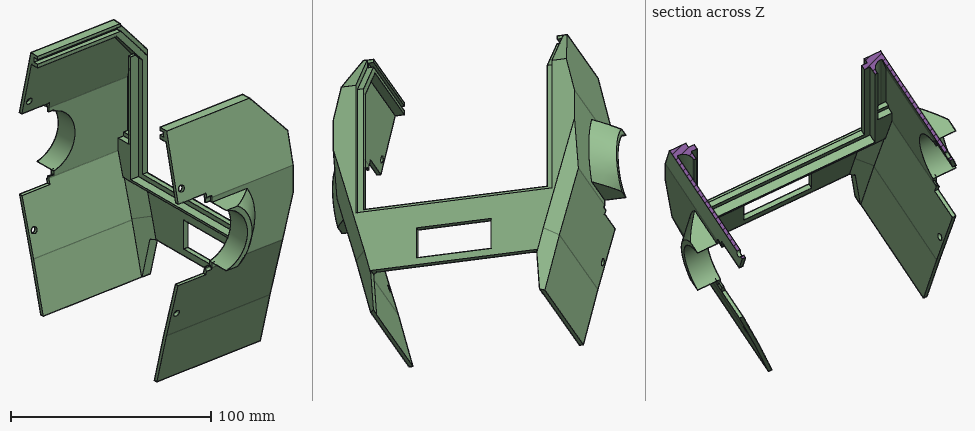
import cadquery as cq
import math

depth = 74.0
height = 146.0
reach = 74.0

wall_half_width = 62.9
top_half_width = 53.1
bottom_half_width = 45.5
leg_bend_half_width = 53.0
leg_bend_z = 29.5
lower_bend_z = 65.0
upper_bend_z = 105.0
wall_thickness = 2.0

slope_run = 20.1
slope_drop = 23.1
corner_chamfer = 6.8
corner_thickness = 5.5

frame_front_y = 63.0
lip_front_y = 68.1
lip_back_y = 71.2
opening_half_width = 47.8
opening_bottom_z = 55.2
recess_half_width = 51.0
recess_bottom_z = 52.5
frame_bottom_z = 51.4
post_half_width = 52.7
post_top_z = 122.2
slope_thickness = 6.2

pocket_floor_y = 69.3
pocket_fillet = 5.5
ledge_y = 66.6
ledge_bottom_z = 72.1
ledge_top_z = 74.3

rail_bottom_z = 139.4
groove_bottom_z = 141.5
groove_top_z = 144.2
groove_half_width = 50.6
rail_lip_end_y = 53.7

plate_inner_y = 71.2
plate_bottom_z = 19.7
leg_half_gap = 43.2
window_half_width = 19.4
window_bottom_z = 23.5
window_top_z = 40.0

collar_y = 17.6
collar_z = 85.0
bore_radius = 17.5
collar_front_y = 21.3
collar_half_height = 17.2
collar_tip_radius = 20.4

notch_depth = 18.0
notch_bottom_z = 61.7
notch_top_z = 108.0
gap_bottom_z = 65.7
gap_top_z = 102.5
lap_bottom_z = 63.6
lap_top_z = 106.1
lap_fillet = 1.5
lap_half_width = 61.9

hole_diameter = 3.5
hole_y = 3.5
lower_hole_z = 42.5
upper_hole_z = 115.1

wall_bends = (
    (bottom_half_width, 0),
    (leg_bend_half_width, leg_bend_z),
    (wall_half_width, lower_bend_z),
    (wall_half_width, upper_bend_z),
    (top_half_width, height),
)
slope_length = math.hypot(slope_run, slope_drop)


def box(x0, x1, y0, y1, z0, z1):
    return cq.Workplane("XY").box(x1 - x0, y1 - y0, z1 - z0, centered=False).translate((x0, y0, z0))


def centred_box(half_width, y0, y1, z0, z1):
    return box(-half_width, half_width, y0, y1, z0, z1)


def both_sides(body):
    return body.union(body.mirror("YZ"))


def side_outline(inset, y_end):
    """Slab from Y = 0 to y_end whose sides follow the side walls, moved inward by inset."""
    right = [(x - inset, z) for x, z in wall_bends]
    left = [(-x, z) for x, z in reversed(right)]
    return cq.Workplane("XZ").polyline(right + left).close().extrude(-y_end)


def below_slope(offset):
    """Everything in front of and below the sloped back face, moved inward by offset."""
    rise = offset * slope_length / slope_run
    slope_foot_z = height - slope_drop - rise
    slope_head_y = depth - slope_run - rise * slope_run / slope_drop
    outline = [(0, 0), (depth, 0), (depth, slope_foot_z), (slope_head_y, height), (0, height)]
    return cq.Workplane("YZ").polyline(outline).close().extrude(reach, both=True)


def corner_wedge(inset):
    """Material outside the right lower back chamfer; its face follows the two leaning leg panels."""
    (foot_x, foot_z), (knee_x, knee_z), (bend_x, bend_z) = wall_bends[:3]
    tilt = math.atan2(bend_x - foot_x, bend_z - foot_z)
    span = 2 * corner_chamfer + inset
    inner = corner_chamfer + inset

    triangle = [(inner, depth), (inner - span, depth), (inner - span, depth - span)]
    section = cq.Wire.makePolygon([
        cq.Vector(
            knee_x - inward * math.cos(tilt) ** 2,
            y,
            knee_z + inward * math.cos(tilt) * math.sin(tilt),
        )
        for inward, y in triangle
    ], close=True)
    overrun = 3
    down_leg = cq.Vector(foot_x - knee_x, 0, foot_z - knee_z) * overrun
    up_leg = cq.Vector(bend_x - knee_x, 0, bend_z - knee_z) * overrun
    lower = cq.Solid.extrudeLinear(section, [], down_leg)
    upper = cq.Solid.extrudeLinear(section, [], up_leg)
    return cq.Workplane(lower).union(cq.Workplane(upper))


def make_shell():
    """Solid outer form before it is hollowed."""
    shell = side_outline(0, depth).intersect(below_slope(0))
    return shell.cut(both_sides(corner_wedge(0)))


def make_collar():
    """Right collar: a 45 degree cone cut flat above and below."""
    wall_x = wall_half_width - wall_thickness
    base_radius = collar_tip_radius + reach - wall_x
    cone = cq.Workplane(cq.Solid.makeCone(
        base_radius, collar_tip_radius, reach - wall_x,
        cq.Vector(wall_x, collar_y, collar_z), cq.Vector(1, 0, 0)))
    flats = box(wall_x, reach, collar_front_y, depth,
                collar_z - collar_half_height, collar_z + collar_half_height)
    return cone.intersect(flats)


def make_interior():
    """Space enclosed by the side walls, the frame and the lower back plate."""
    room = side_outline(wall_thickness, depth)

    front = centred_box(reach, 0, frame_front_y, 0, rail_bottom_z)
    lower = centred_box(reach, 0, plate_inner_y, 0, frame_bottom_z)
    lower = lower.cut(both_sides(corner_wedge(corner_thickness)))
    above_posts = centred_box(reach, 0, pocket_floor_y, post_top_z, rail_bottom_z)

    pocket = box(post_half_width, reach, 0, pocket_floor_y, ledge_top_z, rail_bottom_z)
    pocket = pocket.edges("|Z and <X and >Y").fillet(pocket_fillet)
    ledge = pocket.intersect(centred_box(reach, 0, ledge_y, ledge_top_z, rail_bottom_z))
    ledge = ledge.translate((0, 0, ledge_bottom_z - ledge_top_z))

    space = front.union(lower).union(above_posts).union(both_sides(pocket.union(ledge)))
    return space.intersect(room).intersect(below_slope(slope_thickness))


def make_frame_cuts():
    """Large opening, front recess, back rabbet and the slide groove in the top rails."""
    opening = centred_box(opening_half_width, 0, depth, opening_bottom_z, height)
    recess = centred_box(recess_half_width, 0, lip_front_y, recess_bottom_z, post_top_z)
    recess = recess.intersect(below_slope(slope_thickness))

    rabbet_depth = depth - lip_back_y
    rabbet = centred_box(recess_half_width, rail_lip_end_y, depth, recess_bottom_z, height)
    kept_frame = below_slope(rabbet_depth).intersect(centred_box(reach, 0, lip_back_y, 0, height))
    rabbet = rabbet.cut(kept_frame)

    groove = centred_box(groove_half_width, 0, depth, groove_bottom_z, groove_top_z)
    return opening.union(recess).union(rabbet).union(groove)


def make_plate_cuts():
    """Gap between the legs below the back plate, and the window through the plate."""
    gap = centred_box(leg_half_gap, 0, depth, 0, plate_bottom_z)
    window = centred_box(window_half_width, 0, depth, window_bottom_z, window_top_z)
    return gap.union(window)


def make_side_cuts():
    """Bore and stepped notch, cut through both side walls."""
    bore = cq.Workplane("YZ").center(collar_y, collar_z).circle(bore_radius).extrude(reach, both=True)
    notch = centred_box(reach, 0, notch_depth, notch_bottom_z, notch_top_z)
    gap = centred_box(reach, 0, collar_front_y, gap_bottom_z, gap_top_z)
    lap = box(lap_half_width, reach, 0, collar_front_y, lap_bottom_z, lap_top_z)
    lap = both_sides(lap.edges("|Y and <X").fillet(lap_fillet))
    return bore.union(notch).union(gap).union(lap)


def make_screw_holes(z, below, above):
    """Holes at height z, square to the wall panel between the two given bends, on both sides."""
    (x0, z0), (x1, z1) = below, above
    wall_x = x0 + (x1 - x0) * (z - z0) / (z1 - z0)
    normal = cq.Vector(z1 - z0, 0, x0 - x1).normalized()
    length = 2 * hole_diameter
    start = cq.Vector(wall_x, hole_y, z) - normal * (length / 2)
    return both_sides(cq.Workplane(cq.Solid.makeCylinder(hole_diameter / 2, length, start, normal)))


result = (
    make_shell()
    .cut(make_interior())
    .cut(make_frame_cuts())
    .cut(make_plate_cuts())
    .union(both_sides(make_collar()))
    .cut(make_side_cuts())
    .cut(make_screw_holes(lower_hole_z, *wall_bends[1:3]))
    .cut(make_screw_holes(upper_hole_z, *wall_bends[3:5]))
)